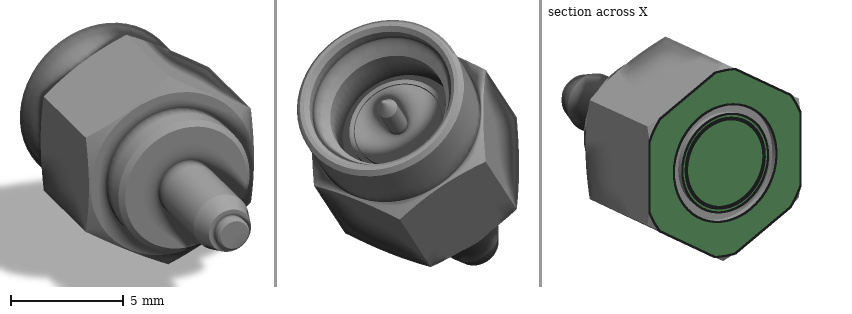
import cadquery as cq
import math

LENGTH = 15.5

NUT_RADIUS = 3.89
NUT_CHAMFER = 0.2
HEX_START = 2.79
HEX_END = 8.37
HEX_SIDES = 6
HEX_STEP_ANGLE = 360 / HEX_SIDES
HEX_ACROSS_FLATS = 8.0
HEX_CORNER_RADIUS = HEX_ACROSS_FLATS / math.sqrt(3)
HEX_FACE_RADIUS = 3.94
HEX_BEVEL_ANGLE = 30.0
ENVELOPE_CLEARANCE = 0.15

COLLAR_RADIUS = 3.18
COLLAR_END = 10.0
COLLAR_CHAMFER = 0.23
STEM_RADIUS = 1.33
TAPER_START = 14.01
TAPER_END = 15.0
TAPER_END_RADIUS = 1.02
TIP_RADIUS = 0.76
TIP_CHAMFER = 0.1

MOUTH_RADIUS = 3.5
MOUTH_CHAMFER = 0.2
LEAD_IN_RADIUS = MOUTH_RADIUS - MOUTH_CHAMFER
LEAD_IN_DEPTH = 0.8
BORE_RADIUS = 2.7
BORE_START = 1.4
BORE_DEPTH = 3.33

SLEEVE_RADIUS = 2.28
SLEEVE_FACE = 2.95
GROOVE_OUTER_RADIUS = 2.08
GROOVE_INNER_RADIUS = 2.03
GROOVE_DEPTH = 0.15
PIN_RADIUS = 0.46
PIN_TIP = 0.48
PIN_CONE_END = 1.24


def revolve_profile(points):
    """Revolve a closed (X, radius) outline about the X axis."""
    return cq.Workplane("XY").polyline(points).close().revolve(360, (0, 0, 0), (1, 0, 0))


def make_body():
    return revolve_profile([
        (0, 0),
        (0, NUT_RADIUS - NUT_CHAMFER),
        (NUT_CHAMFER, NUT_RADIUS),
        (HEX_END, NUT_RADIUS),
        (HEX_END, COLLAR_RADIUS),
        (COLLAR_END - COLLAR_CHAMFER, COLLAR_RADIUS),
        (COLLAR_END, COLLAR_RADIUS - COLLAR_CHAMFER),
        (COLLAR_END, STEM_RADIUS),
        (TAPER_START, STEM_RADIUS),
        (TAPER_END, TAPER_END_RADIUS),
        (TAPER_END, TIP_RADIUS),
        (LENGTH - TIP_CHAMFER, TIP_RADIUS),
        (LENGTH, TIP_RADIUS - TIP_CHAMFER),
        (LENGTH, 0),
    ])


def make_hex():
    """Hexagon with corners on +Z and -Z, beveled by a cone at each end."""
    corners = [
        (HEX_CORNER_RADIUS * math.sin(math.radians(HEX_STEP_ANGLE * i)),
         HEX_CORNER_RADIUS * math.cos(math.radians(HEX_STEP_ANGLE * i)))
        for i in range(HEX_SIDES)
    ]
    prism = (
        cq.Workplane("YZ", origin=(HEX_START, 0, 0))
        .polyline(corners).close().extrude(HEX_END - HEX_START)
    )
    outer_radius = HEX_CORNER_RADIUS + ENVELOPE_CLEARANCE
    bevel_length = (outer_radius - HEX_FACE_RADIUS) * math.tan(math.radians(HEX_BEVEL_ANGLE))
    envelope = revolve_profile([
        (HEX_START, 0),
        (HEX_START, HEX_FACE_RADIUS),
        (HEX_START + bevel_length, outer_radius),
        (HEX_END - bevel_length, outer_radius),
        (HEX_END, HEX_FACE_RADIUS),
        (HEX_END, 0),
    ])
    return prism.intersect(envelope)


def make_socket():
    """Stepped, tapered cavity from the mouth to its flat floor."""
    return revolve_profile([
        (0, 0),
        (0, MOUTH_RADIUS),
        (MOUTH_CHAMFER, LEAD_IN_RADIUS),
        (LEAD_IN_DEPTH, LEAD_IN_RADIUS),
        (BORE_START, BORE_RADIUS),
        (BORE_DEPTH, BORE_RADIUS),
        (BORE_DEPTH, 0),
    ])


def make_sleeve():
    """Raised sleeve and insulator on the cavity floor, parted by a thin ring groove."""
    return revolve_profile([
        (BORE_DEPTH, 0),
        (SLEEVE_FACE, 0),
        (SLEEVE_FACE, GROOVE_INNER_RADIUS),
        (SLEEVE_FACE + GROOVE_DEPTH, GROOVE_INNER_RADIUS),
        (SLEEVE_FACE + GROOVE_DEPTH, GROOVE_OUTER_RADIUS),
        (SLEEVE_FACE, GROOVE_OUTER_RADIUS),
        (SLEEVE_FACE, SLEEVE_RADIUS),
        (BORE_DEPTH, SLEEVE_RADIUS),
    ])


def make_pin():
    return revolve_profile([
        (PIN_TIP, 0),
        (PIN_CONE_END, PIN_RADIUS),
        (HEX_END, PIN_RADIUS),
        (HEX_END, 0),
    ])


result = (
    make_body()
    .union(make_hex())
    .cut(make_socket())
    .union(make_sleeve())
    .union(make_pin())
)